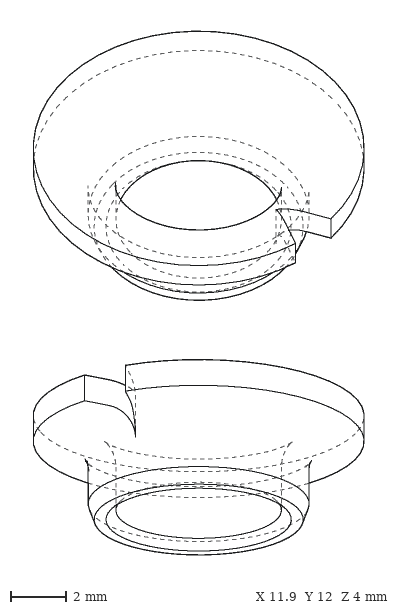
import cadquery as cq
import math

flange_radius = 5.99
flange_thickness = 1.0
total_height = 4.0
body_radius = 4.0
bore_radius = 3.0
mouth_round = 2.0
neck_fillet = 1.01
lead_in_height = 0.6
lead_in_angle = 20.0
bore_chamfer = 0.36
notch_half_angle = 25.0

flange_bottom = total_height - flange_thickness
neck_bottom = flange_bottom - neck_fillet
tip_radius = body_radius - lead_in_height * math.tan(math.radians(lead_in_angle))
diagonal = math.sqrt(0.5)


def make_bushing():
    """Revolve the half section (radius, height) about the Z axis."""
    neck_center = (body_radius + neck_fillet, neck_bottom)
    mouth_center = (bore_radius + mouth_round, total_height - mouth_round)
    neck_middle = (
        neck_center[0] - neck_fillet * diagonal,
        neck_center[1] + neck_fillet * diagonal,
    )
    mouth_middle = (
        mouth_center[0] - mouth_round * diagonal,
        mouth_center[1] + mouth_round * diagonal,
    )
    section = (
        cq.Workplane("XZ")
        .moveTo(bore_radius, bore_chamfer)
        .lineTo(bore_radius + bore_chamfer, 0)
        .lineTo(tip_radius, 0)
        .lineTo(body_radius, lead_in_height)
        .lineTo(body_radius, neck_bottom)
        .threePointArc(neck_middle, (neck_center[0], flange_bottom))
        .lineTo(flange_radius, flange_bottom)
        .lineTo(flange_radius, total_height)
        .lineTo(mouth_center[0], total_height)
        .threePointArc(mouth_middle, (bore_radius, mouth_center[1]))
        .close()
    )
    return section.revolve(360, (0, 0), (0, 1))


def make_notch():
    """V-shaped cutter whose point lies on the body's outer surface."""
    notch_end = flange_radius + flange_thickness
    half_width = (notch_end - body_radius) * math.tan(math.radians(notch_half_angle))
    return (
        cq.Workplane("XY")
        .workplane(offset=neck_bottom)
        .moveTo(body_radius, 0)
        .lineTo(notch_end, half_width)
        .lineTo(notch_end, -half_width)
        .close()
        .extrude(total_height - neck_bottom)
    )


result = make_bushing().cut(make_notch())